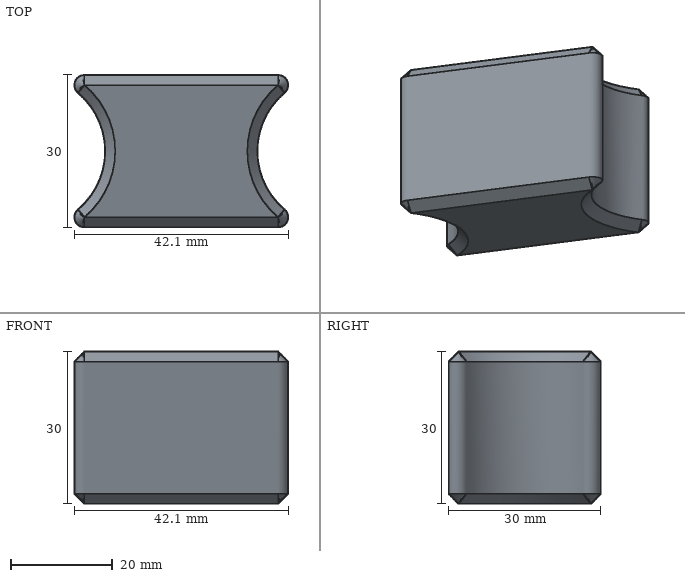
import cadquery as cq
import math

depth = 30.0
height = 30.0
waist = 30.0
hollow_radius = 15.0
edge_size = 2.0

half_depth = depth / 2
half_height = height / 2
hollow_x = waist / 2 + hollow_radius
flat_half_depth = half_depth - edge_size
flat_half_height = half_height - edge_size

centre_distance = hollow_radius + edge_size
centre_offset_x = math.sqrt(centre_distance**2 - flat_half_depth**2)
corner_x = hollow_x - centre_offset_x
corner_y = flat_half_depth
tangent_x = hollow_x - hollow_radius * centre_offset_x / centre_distance
tangent_y = hollow_radius * corner_y / centre_distance
corner_sweep = 90 + math.degrees(math.atan2(corner_y, centre_offset_x))


def make_core():
    """Block between the corner rounds, with chamfers along the long straight edges."""
    prism = (
        cq.Workplane("XY", origin=(0, 0, -half_height))
        .moveTo(-corner_x, half_depth)
        .lineTo(corner_x, half_depth)
        .lineTo(corner_x, corner_y)
        .lineTo(tangent_x, tangent_y)
        .threePointArc((waist / 2, 0), (tangent_x, -tangent_y))
        .lineTo(corner_x, -corner_y)
        .lineTo(corner_x, -half_depth)
        .lineTo(-corner_x, -half_depth)
        .lineTo(-corner_x, -corner_y)
        .lineTo(-tangent_x, -tangent_y)
        .threePointArc((-waist / 2, 0), (-tangent_x, tangent_y))
        .lineTo(-corner_x, corner_y)
        .close()
        .extrude(height)
    )
    straight_edges = prism.faces("<Y or >Y").edges("|X")
    return straight_edges.chamfer(edge_size)


def make_hollow_chamfer():
    """Conical cutter that bevels the upper rim of the hollow on the +X end."""
    return (
        cq.Workplane("XZ", origin=(hollow_x, 0, 0))
        .moveTo(0, flat_half_height)
        .lineTo(hollow_radius, flat_half_height)
        .lineTo(hollow_radius + edge_size, half_height)
        .lineTo(0, half_height)
        .close()
        .revolve(360, (0, 0), (0, 1))
    )


def make_corner():
    """Rounded +X +Y corner: a cylinder sector with a pointed cone at each end."""
    return (
        cq.Workplane("YZ", origin=(corner_x, 0, 0))
        .moveTo(corner_y, -half_height)
        .lineTo(half_depth, -flat_half_height)
        .lineTo(half_depth, flat_half_height)
        .lineTo(corner_y, half_height)
        .close()
        .revolve(corner_sweep, (corner_y, 0), (corner_y, -1))
    )


def with_mirror(shape, plane):
    """Return a list holding the shape and its mirror image."""
    return [shape, shape.mirror(plane)]


result = make_core()

for upper_cutter in with_mirror(make_hollow_chamfer(), "YZ"):
    for cutter in with_mirror(upper_cutter, "XY"):
        result = result.cut(cutter)

for side_corner in with_mirror(make_corner(), "YZ"):
    for corner in with_mirror(side_corner, "XZ"):
        result = result.union(corner)